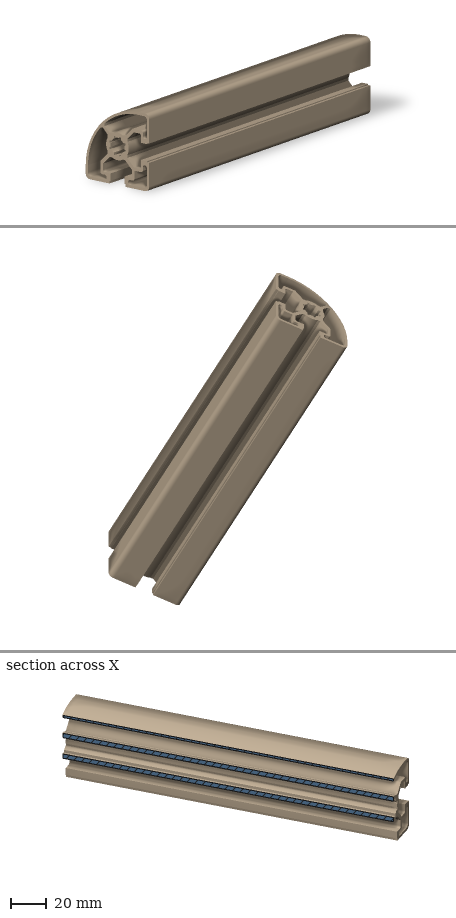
import cadquery as cq
import math

size = 45.0
length = 200.0
half = size / 2

skin = 1.65
round_center = 15.0
round_radius = half + round_center
inner_round_radius = 35.5
corner_radius = 3.0
inner_corner_radius = 2.0

slot_wall = 1.8
slot_half_width = 10.2
slot_lip_level = 16.5
slot_corner_radius = 1.2
shelf_thickness = 1.5
mouth_half_width = 5.0
mouth_step = 0.5
mouth_step_depth = 1.5
lip_pocket_end = 7.5
slot_spoke = 2.2

hub_half = 7.0
hub_radius = 8.0
bore_radius = 4.8
relief_level = 5.5
relief_half = 2.5
rib_level = 5.0
rib_half = 1.2
thin_spoke = 1.8
spoke_root = 9.0

spoke_offset = slot_spoke * math.sqrt(0.5)
thin_offset = thin_spoke * math.sqrt(0.5)


def plane():
    """XZ sketch plane at the +Y end; extrusion runs toward -Y."""
    return cq.Workplane("XZ", origin=(0, length / 2, 0))


def prism(points):
    return plane().polyline(points).close().extrude(length)


def box(x_min, x_max, z_min, z_max):
    return prism([(x_min, z_min), (x_max, z_min), (x_max, z_max), (x_min, z_max)])


def cylinder(x, z, radius):
    return plane().center(x, z).circle(radius).extrude(length)


def quarter_round(edge, radius, corner):
    """Solid reaching edge on all four sides, with a round top-left and rounded other corners."""
    arc_end = radius - edge
    arc_mid = arc_end - radius * math.sqrt(0.5)
    body = (
        plane()
        .moveTo(-edge, -arc_end)
        .threePointArc((arc_mid, -arc_mid), (arc_end, edge))
        .lineTo(edge, edge)
        .lineTo(edge, -edge)
        .lineTo(-edge, -edge)
        .close()
        .extrude(length)
    )
    return body.edges("|Y and (>X or <Z)").fillet(corner)


def to_right(body):
    """Turn a feature of the -Z slot a quarter turn about Y, onto the +X slot."""
    return body.rotate((0, 0, 0), (0, 1, 0), -90)


def slot_housing():
    """Solid envelope of the -Z slot, including its two 45 degree spokes."""
    side = slot_half_width + slot_wall
    shoulder = side - spoke_offset
    floor = slot_lip_level + shelf_thickness
    body = prism([
        (-spoke_offset, 0),
        (-side, -shoulder),
        (-side, -floor),
        (side, -floor),
        (side, -shoulder),
        (spoke_offset, 0),
    ])
    return body.edges("|Y and <Z").fillet(slot_corner_radius)


def slot_lips():
    """Lips on both sides of the slot mouth, each closing a chamber with a half-round end."""
    pocket_top = -slot_lip_level - shelf_thickness
    pocket_bottom = skin - half
    pocket_radius = (pocket_top - pocket_bottom) / 2
    root = lip_pocket_end + pocket_radius
    lip = (
        plane()
        .moveTo(mouth_half_width, -slot_lip_level)
        .lineTo(root, -slot_lip_level)
        .lineTo(root, pocket_top)
        .threePointArc((lip_pocket_end, pocket_top - pocket_radius), (root, pocket_bottom))
        .lineTo(root, -half)
        .lineTo(mouth_half_width, -half)
        .close()
        .extrude(length)
    )
    return lip.union(lip.mirror("YZ"))


def slot_void():
    """Open space of the -Z slot: undercut chamber, mouth and stepped outer edge."""
    shoulder = slot_half_width + spoke_offset
    throat = hub_half - spoke_offset
    chamber = prism([
        (-throat, -hub_half),
        (-slot_half_width, -shoulder),
        (-slot_half_width, -slot_lip_level),
        (slot_half_width, -slot_lip_level),
        (slot_half_width, -shoulder),
        (throat, -hub_half),
    ])
    chamber = chamber.edges("|Y and <Z").fillet(slot_corner_radius)
    mouth = box(-mouth_half_width, mouth_half_width, -half, -slot_lip_level)
    step_half = mouth_half_width + mouth_step
    step = box(-step_half, step_half, -half, mouth_step_depth - half)
    return chamber.union(mouth).union(step)


def thin_web():
    """Diagonal spoke from the hub to the round skin, widening to a square root."""
    spoke = prism([
        (-thin_offset, 0),
        (0, thin_offset),
        (-half, half + thin_offset),
        (-half - thin_offset, half),
    ])
    return spoke.union(box(-half, -spoke_root, spoke_root, half))


def bore():
    """Round bore with a wide relief on each of four sides and a low rib along each relief."""
    void = cylinder(0, 0, bore_radius)
    relief = prism([
        (-relief_half, 0),
        (-relief_half, relief_level),
        (-rib_half, relief_level),
        (-rib_half, rib_level),
        (rib_half, rib_level),
        (rib_half, relief_level),
        (relief_half, relief_level),
        (relief_half, 0),
    ])
    for quarter in range(4):
        void = void.union(relief.rotate((0, 0, 0), (0, 1, 0), 90 * quarter))
    return void


envelope = quarter_round(half, round_radius, corner_radius)
interior = quarter_round(half - skin, inner_round_radius, inner_corner_radius)
hub = box(-hub_half, hub_half, -hub_half, hub_half).union(cylinder(0, 0, hub_radius))

result = envelope.cut(interior)
result = result.union(thin_web().intersect(envelope))
for feature in (slot_housing(), slot_lips()):
    result = result.union(feature).union(to_right(feature))
result = result.cut(slot_void()).cut(to_right(slot_void()))
result = result.union(hub).cut(bore())